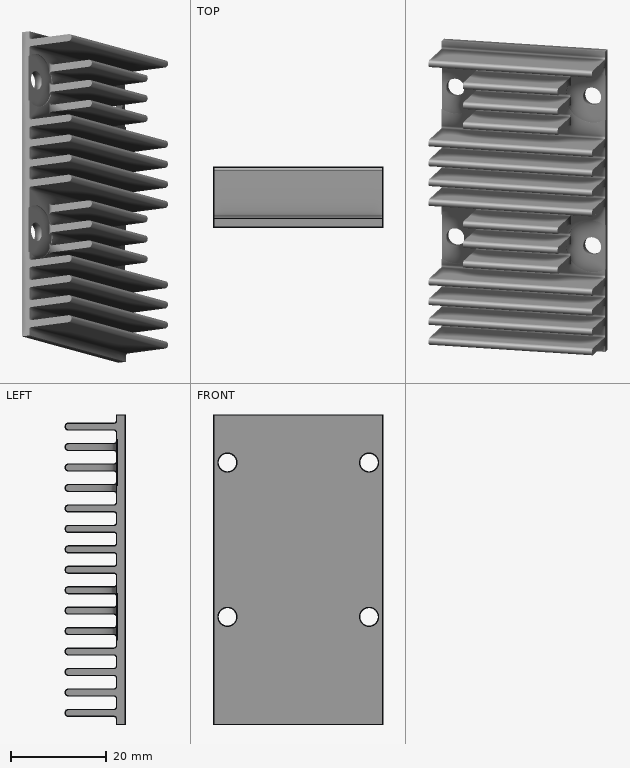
import cadquery as cq

width = 35.55
height = 65.1
plate_thickness = 1.9

depth = 12.7
fin_count = 15
fin_pitch = 4.3
fin_thickness = 1.5
fin_root_radius = 0.5
fin_length = depth - plate_thickness
top_fin_z = (fin_count - 1) / 2 * fin_pitch

hole_diameter = 3.9
hole_spacing_x = 29.75
hole_spacing_z = 32.4
hole_pattern_z = 6.3

fins_cut = 3
first_fins_cut = (1, 8)
fin_cut_length = 7.5
spot_face_diameter = 11.2
spot_face_depth = 0.2


def make_plate():
    return cq.Workplane("XY").box(width, plate_thickness, height, centered=(True, False, True))


def make_fin(z):
    """One full-width fin with a round tip and filleted roots."""
    half = fin_thickness / 2
    root = plate_thickness
    foot = plate_thickness / 2
    flare = half + fin_root_radius
    profile = (
        cq.Workplane("YZ", origin=(-width / 2, 0, z))
        .moveTo(foot, -flare)
        .lineTo(root, -flare)
        .radiusArc((root + fin_root_radius, -half), fin_root_radius)
        .lineTo(depth - half, -half)
        .threePointArc((depth, 0), (depth - half, half))
        .lineTo(root + fin_root_radius, half)
        .radiusArc((root, flare), fin_root_radius)
        .lineTo(foot, flare)
        .close()
    )
    return profile.extrude(width)


def make_fin_cut(side, first_fin):
    """Block that removes the ends of neighbouring fins down to the plate."""
    middle_z = top_fin_z - (first_fin + (fins_cut - 1) / 2) * fin_pitch
    middle_x = side * (width - fin_cut_length) / 2
    return (
        cq.Workplane("XY", origin=(middle_x, plate_thickness, middle_z))
        .box(fin_cut_length, fin_length, fins_cut * fin_pitch, centered=(True, False, True))
    )


def make_cylinder(x, z, diameter, start_y, length):
    """Cylinder along +Y, used to drill and spot face the plate."""
    return (
        cq.Workplane("XZ", origin=(x, start_y, z))
        .circle(diameter / 2)
        .extrude(-length)
    )


result = make_plate()
for number in range(fin_count):
    result = result.union(make_fin(top_fin_z - number * fin_pitch))

spot_face_y = plate_thickness - spot_face_depth
for side in (-1, 1):
    hole_x = side * hole_spacing_x / 2
    for first_fin in first_fins_cut:
        result = result.cut(make_fin_cut(side, first_fin))
    for end in (-1, 1):
        hole_z = hole_pattern_z + end * hole_spacing_z / 2
        hole = make_cylinder(hole_x, hole_z, hole_diameter, 0, plate_thickness)
        spot_face = make_cylinder(hole_x, hole_z, spot_face_diameter, spot_face_y, spot_face_depth)
        result = result.cut(hole).cut(spot_face)